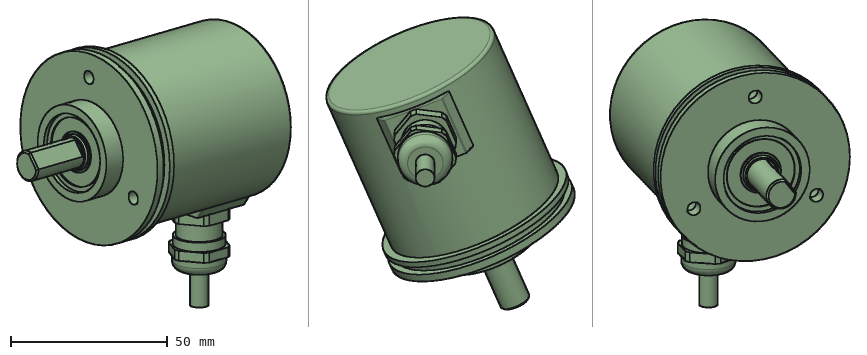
import cadquery as cq
import math


flange_radius = 63.5 / 2
flange_thickness = 7.3
front_rim_width = 2.7
groove_width = 2.8
groove_radius = 29.3
boss_radius = 15.9
boss_height = 7.4

screw_count = 3
screw_circle_radius = 23.7
screw_hole_radius = 2.2
screw_hole_depth = 4.75
drill_point_height = 1.1

bearing_radius = 13.0
bearing_width = 8.0
bearing_setback = 1.5
shield_outer_radius = 11.4
shield_inner_radius = 6.7
shield_setback = 0.5

shaft_radius = 10.0 / 2
shaft_exposed_length = 20.0
shaft_tip_chamfer = 0.6
shoulder_radius = 6.0
shoulder_projection = 0.95
shoulder_taper_length = 0.8
shoulder_taper_depth = 0.5
flat_distance = 4.0
flat_angle = 36.9

overall_length = 89.5
cover_radius = 58.0 / 2
cover_rear_fillet = 1.1
pad_length = 20.9
pad_top_depth = 19.0
pad_bottom_depth = 29.6
pad_bottom_width = 19.9
pad_side_tilt = 36.0
pad_edge_fillet = 0.4

gland_inset = 13.5
hex_across_flats = 18.0
hex_across_corners = 19.75
gland_hex_height = 4.1
gland_neck_radius = 7.5
gland_neck_height = 6.0
nut_collar_radius = 8.45
nut_collar_height = 3.0
nut_hex_height = 3.3
nut_dome_radius = 8.7
nut_dome_height = 5.1
nut_dome_fillet = 3.0

overall_height = 94.95
cable_radius = 6.0 / 2

boss_face_y = -boss_height
bearing_front_y = boss_face_y + bearing_setback
bearing_back_y = bearing_front_y + bearing_width
shaft_tip_y = boss_face_y - shaft_exposed_length
cover_back_y = shaft_tip_y + overall_length
gland_y = cover_back_y - gland_inset
gland_top_z = -pad_bottom_depth
nut_top_z = gland_top_z - gland_hex_height - gland_neck_height
cable_bottom_z = flange_radius - overall_height


def cylinder_y(radius, start_y, end_y):
    """Cylinder around the shaft axis between two Y positions."""
    plane = cq.Workplane("XZ", origin=(0, start_y, 0))
    return plane.circle(radius).extrude(start_y - end_y)


def cylinder_down(radius, top_z, height):
    """Cylinder around the gland axis, going down from top_z."""
    return cq.Workplane("XY", origin=(0, gland_y, top_z)).circle(radius).extrude(-height)


def plain_hexagon_down(across_flats, angle, top_z, height):
    """Sharp hexagon around the gland axis with one corner at an angle from +X."""
    corner_diameter = across_flats / math.cos(math.radians(30))
    return (
        cq.Workplane("XY", origin=(0, gland_y, top_z))
        .transformed(rotate=(0, 0, angle))
        .polygon(6, corner_diameter)
        .extrude(-height)
    )


def hexagon_down(top_z, height):
    """Hexagon around the gland axis with two flats facing X and its corners cut flat."""
    hexagon = plain_hexagon_down(hex_across_flats, 30, top_z, height)
    corner_limit = plain_hexagon_down(hex_across_corners, 0, top_z, height)
    return hexagon.intersect(corner_limit)


def screw_hole(angle):
    """Drilled hole with a conical bottom, at an angle around the flange face."""
    profile = [
        (0, 0),
        (screw_hole_radius, 0),
        (screw_hole_radius, screw_hole_depth),
        (0, screw_hole_depth + drill_point_height),
    ]
    hole = cq.Workplane("XY").polyline(profile).close().revolve(360, (0, 0, 0), (0, 1, 0))
    return hole.translate((0, 0, screw_circle_radius)).rotate((0, 0, 0), (0, 1, 0), angle)


def make_flange():
    groove_end_y = front_rim_width + groove_width
    flange = (
        cylinder_y(flange_radius, 0, front_rim_width)
        .union(cylinder_y(groove_radius, front_rim_width, groove_end_y))
        .union(cylinder_y(flange_radius, groove_end_y, flange_thickness))
        .union(cylinder_y(boss_radius, boss_face_y, 0))
        .cut(cylinder_y(bearing_radius, boss_face_y, bearing_back_y))
    )
    for index in range(screw_count):
        flange = flange.cut(screw_hole(index * 360 / screw_count))
    return flange


def make_bearing():
    shield_y = bearing_front_y + shield_setback
    shield_recess = cylinder_y(shield_outer_radius, bearing_front_y, shield_y).cut(
        cylinder_y(shield_inner_radius, bearing_front_y, shield_y)
    )
    return (
        cylinder_y(bearing_radius, bearing_front_y, bearing_back_y)
        .cut(cylinder_y(shoulder_radius, bearing_front_y, bearing_back_y))
        .cut(shield_recess)
    )


def make_shaft():
    shoulder_y = bearing_front_y - shoulder_projection
    shoulder = cylinder_y(shoulder_radius, shoulder_y, bearing_back_y)
    shoulder = shoulder.faces("<Y").chamfer(shoulder_taper_length, shoulder_taper_depth)
    journal = cylinder_y(shaft_radius, shaft_tip_y, shoulder_y)
    flat_cutter = cq.Workplane("XY").box(
        shaft_radius, shaft_exposed_length, 2 * shaft_radius, centered=(False, False, True)
    )
    flat_cutter = flat_cutter.translate((-flat_distance - shaft_radius, shaft_tip_y, 0))
    journal = journal.cut(flat_cutter).faces("<Y").chamfer(shaft_tip_chamfer)
    journal = journal.rotate((0, 0, 0), (0, 1, 0), 180 - flat_angle)
    return shoulder.union(journal)


def make_pad():
    """Block under the cover whose two long sides lean inward toward the bottom."""
    bottom_half_width = pad_bottom_width / 2
    height = pad_bottom_depth - pad_top_depth
    top_half_width = bottom_half_width + height * math.tan(math.radians(pad_side_tilt))
    outline = [
        (-top_half_width, -pad_top_depth),
        (top_half_width, -pad_top_depth),
        (bottom_half_width, -pad_bottom_depth),
        (-bottom_half_width, -pad_bottom_depth),
    ]
    pad = (
        cq.Workplane("XZ", origin=(0, gland_y, 0))
        .polyline(outline)
        .close()
        .extrude(pad_length / 2, both=True)
    )
    end_edges = pad.faces("<Y or >Y").edges("not |X")
    bottom_edges = pad.faces("<Z").edges()
    return end_edges.add(bottom_edges).fillet(pad_edge_fillet)


def make_cover():
    barrel = cylinder_y(cover_radius, flange_thickness, cover_back_y)
    barrel = barrel.faces(">Y").edges().fillet(cover_rear_fillet)
    return barrel.union(make_pad())


def make_gland():
    neck_top_z = gland_top_z - gland_hex_height
    return (
        hexagon_down(gland_top_z, gland_hex_height)
        .union(cylinder_down(gland_neck_radius, neck_top_z, gland_neck_height))
        .cut(cylinder_down(cable_radius, gland_top_z, gland_top_z - nut_top_z))
    )


def make_cap_nut():
    hex_top_z = nut_top_z - nut_collar_height
    dome_top_z = hex_top_z - nut_hex_height
    dome = cylinder_down(nut_dome_radius, dome_top_z, nut_dome_height)
    dome = dome.faces("<Z").edges().fillet(nut_dome_fillet)
    nut_height = nut_collar_height + nut_hex_height + nut_dome_height
    return (
        cylinder_down(nut_collar_radius, nut_top_z, nut_collar_height)
        .union(hexagon_down(hex_top_z, nut_hex_height))
        .union(dome)
        .cut(cylinder_down(cable_radius, nut_top_z, nut_height))
    )


def make_cable():
    return cylinder_down(cable_radius, gland_top_z, gland_top_z - cable_bottom_z)


flange = make_flange()
bearing = make_bearing()
shaft = make_shaft()
cover = make_cover()
gland = make_gland()
cap_nut = make_cap_nut()
cable = make_cable()

result = cq.Compound.makeCompound(
    [
        flange.val(),
        bearing.val(),
        shaft.val(),
        cover.val(),
        gland.val(),
        cap_nut.val(),
        cable.val(),
    ]
)